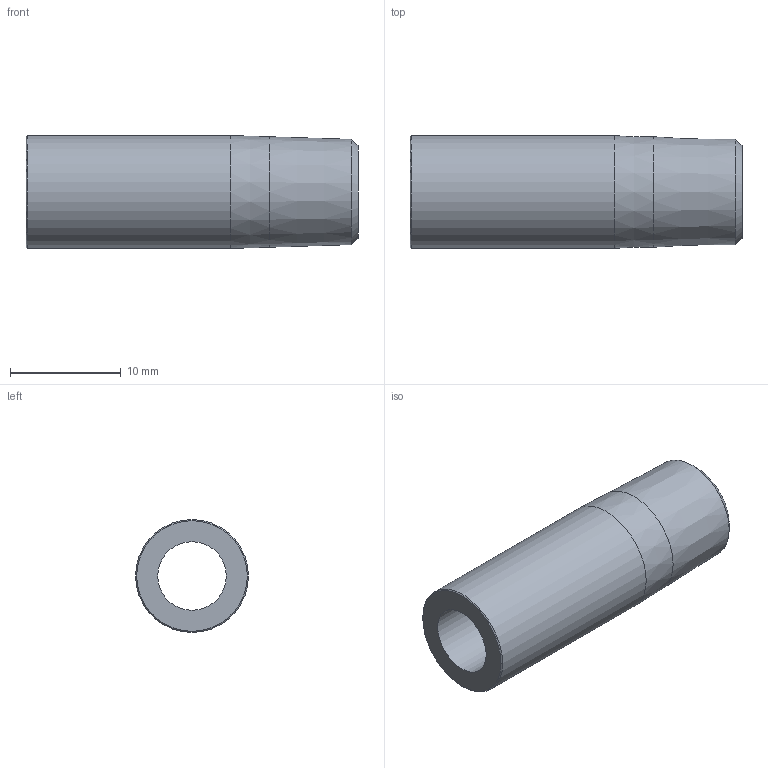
import cadquery as cq

LENGTH = 30.0
BODY_RADIUS = 5.1
BORE_RADIUS = 3.1
PLAIN_END_CHAMFER = 0.1

TAPER_SLOPE = 1 / 32
GAUGE_RADIUS = 9.728 / 2
GAUGE_DISTANCE = 4.0
THREAD_LENGTH = 8.0
TIP_CHAMFER = 0.6


def taper_radius(distance_from_tip):
    """Radius of the taper at a given distance from the tapered end."""
    return GAUGE_RADIUS + (distance_from_tip - GAUGE_DISTANCE) * TAPER_SLOPE


def station(distance_from_tip):
    """Profile point on the taper at a given distance from the tapered end."""
    return (LENGTH - distance_from_tip, taper_radius(distance_from_tip))


taper_length = GAUGE_DISTANCE + (BODY_RADIUS - GAUGE_RADIUS) / TAPER_SLOPE
tip_radius = taper_radius(TIP_CHAMFER) - TIP_CHAMFER


def tube():
    """Half section of the wall, revolved about the X axis; uncleaned to keep the split in the taper."""
    section = [
        (0, BORE_RADIUS),
        (0, BODY_RADIUS - PLAIN_END_CHAMFER),
        (PLAIN_END_CHAMFER, BODY_RADIUS),
        station(taper_length),
        station(THREAD_LENGTH),
        station(TIP_CHAMFER),
        (LENGTH, tip_radius),
        (LENGTH, BORE_RADIUS),
    ]
    profile = cq.Workplane("XZ").polyline(section).close()
    return profile.revolve(360, (0, 0, 0), (1, 0, 0), clean=False)


result = tube()